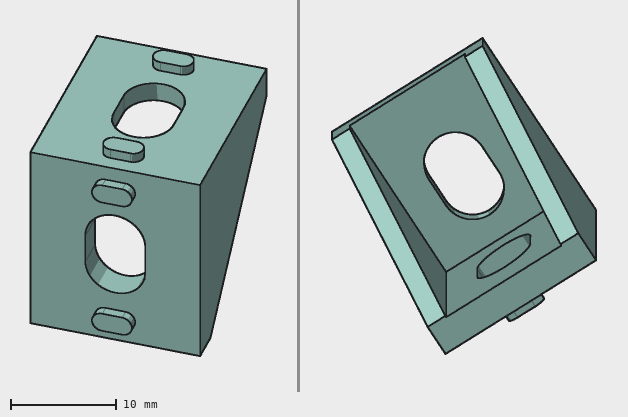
import cadquery as cq

width = 17.0
leg_length = 20.0
tip_height = 3.15
top_thickness = 2.0
front_thickness = 3.0
side_wall = 2.0

slot_length = 9.0
slot_width = 6.0

key_length = 4.0
key_width = 2.0
key_height = 1.0
key_spacing = 15.0

leg_middle = leg_length / 2


def gusset_body():
    """Solid bracket profile with a 45 degree inner side, extruded over the width."""
    outline = [
        (0, 0),
        (leg_length, 0),
        (leg_length, -tip_height),
        (tip_height, -leg_length),
        (0, -leg_length),
    ]
    return cq.Workplane("YZ").polyline(outline).close().extrude(width / 2, both=True)


def inner_pocket():
    """Space between the side walls, open towards the 45 degree side and leg tips."""
    return cq.Workplane("XY").box(
        width - 2 * side_wall, leg_length, leg_length, centered=(True, False, False)
    ).translate((0, front_thickness, -top_thickness - leg_length))


def top_face():
    """Mounting face Z = 0, with its local origin at the middle of the leg."""
    return cq.Workplane("XY", origin=(0, leg_middle, 0))


def front_face():
    """Mounting face Y = 0, with its local origin at the middle of the leg."""
    return cq.Workplane("XZ", origin=(0, 0, -leg_middle))


def mounting_slot(face, thickness):
    return face.slot2D(slot_length, slot_width, 90).extrude(-thickness)


def alignment_keys(face):
    centers = [(0, -key_spacing / 2), (0, key_spacing / 2)]
    return face.pushPoints(centers).slot2D(key_length, key_width).extrude(key_height)


result = gusset_body().cut(inner_pocket())
for mounting_face, thickness in ((top_face(), top_thickness), (front_face(), front_thickness)):
    result = result.cut(mounting_slot(mounting_face, thickness))
    result = result.union(alignment_keys(mounting_face))